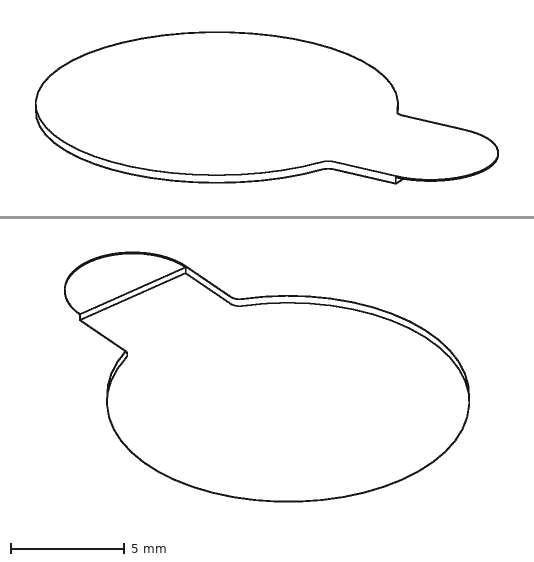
import cadquery as cq

overall_length = 21.92
disc_diameter = 16.0
tab_width = 6.0
corner_radius = 0.5
total_thickness = 0.37
film_thickness = 0.07

disc_radius = disc_diameter / 2
tab_radius = tab_width / 2
tab_end_x = overall_length - disc_radius
tab_center_x = tab_end_x - tab_radius


def full_outline_body():
    """Disc with a round-ended tab along +X and filleted inner corners."""
    disc = cq.Workplane("XY").circle(disc_radius).extrude(total_thickness)
    tab = (
        cq.Workplane("XY")
        .moveTo(0, -tab_radius)
        .lineTo(tab_center_x, -tab_radius)
        .threePointArc((tab_end_x, 0), (tab_center_x, tab_radius))
        .lineTo(0, tab_radius)
        .close()
        .extrude(total_thickness)
    )
    inner_corners = cq.selectors.BoxSelector(
        (0, -tab_width, 0),
        (tab_center_x - corner_radius, tab_width, total_thickness),
    )
    return disc.union(tab).edges("|Z").edges(inner_corners).fillet(corner_radius)


def tab_end_relief():
    """Space below the film, from the start of the tab's round end outwards."""
    return (
        cq.Workplane("XY")
        .moveTo(tab_center_x, -tab_radius)
        .rect(tab_width, tab_width, centered=False)
        .extrude(total_thickness - film_thickness)
    )


result = full_outline_body().cut(tab_end_relief())